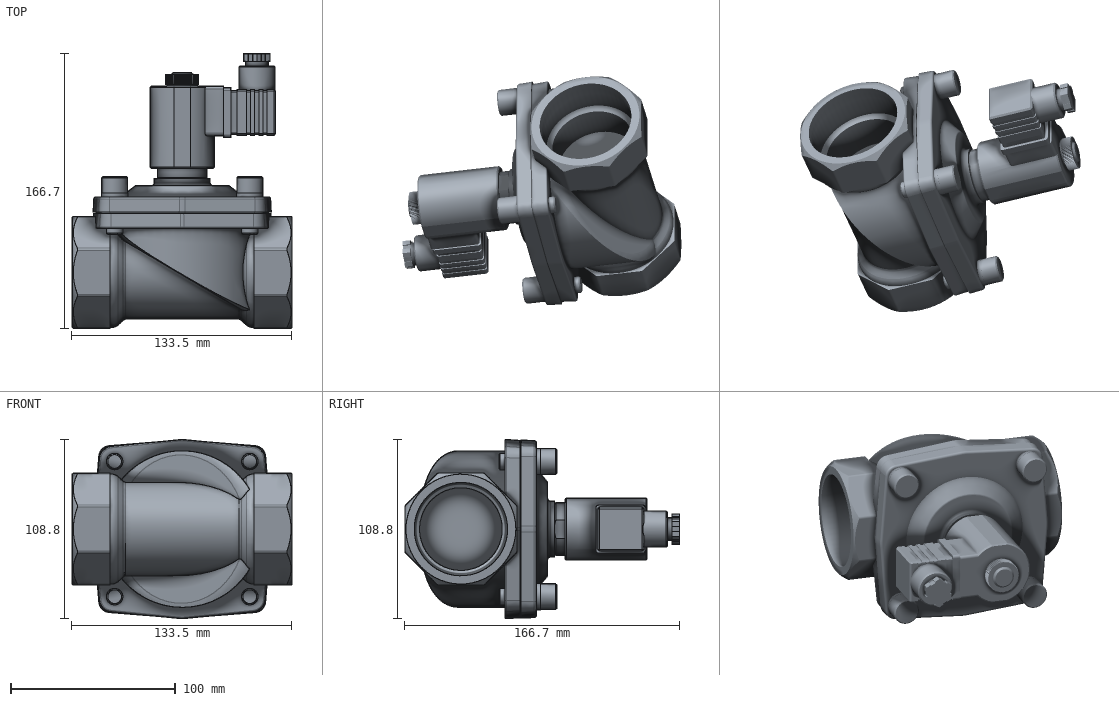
import cadquery as cq
import math

overall_length = 133.5
half_length = overall_length / 2
pipe_radius = 28.3
octagon_flats = 68.0
octagon_sides = 8
octagon_inner_x = 43.7
octagon_edge_radius = 2.0
end_face_radius = 33.4

shoulder_radius = 33.5
shoulder_arc_mid = (41.2, 33.2)
shoulder_arc_end = (39.0, 32.0)
shoulder_cone_end = (35.9, 29.2)
shoulder_foot_mid = (35.2, 28.7)
shoulder_foot_end = (34.4, pipe_radius)

thread_radius = 28.3
thread_depth = 22.5
bore_diameter = 50.2
bore_radius = bore_diameter / 2
bore_cone_length = 1.7
bore_depth = 45.0

housing_radius = 47.5
floor_tilt = 30.5
floor_center = (-0.7, -1.2)
floor_flat_radius = 45.0
floor_edge_radius = 12.5
floor_height = 100.0

flange_bottom = 26.7
seam = 35.9
joint_groove_width = 0.7
joint_groove_depth = 1.7
flange_top = 45.9
body_peak = 54.5
bonnet_peak = 54.2
body_peak_slope = 0.1
bonnet_peak_slope = 0.08
body_corner_radius = 7.7
bonnet_corner_radius = 7.2
body_peak_radius = 10.0
bonnet_peak_radius = 22.5
body_draft = 4.0
bonnet_draft = 3.0
body_rim_radius = 0.8
bonnet_rim_radius = 1.5

screw_spacing = 82.0
screw_tip_radius = 5.0
screw_tip_length = 3.7
screw_tip_chamfer = 0.8
washer_radius = 8.0
washer_thickness = 2.3
screw_head_diameter = 15.8
screw_head_radius = screw_head_diameter / 2
screw_head_top = 58.2
screw_head_chamfer = 0.8

dome_top = 52.7
dome_top_radius = 28.3
dome_base_radius = 37.2
dome_edge_radius = 1.3
boss_radius = 17.0
boss_top = 56.9
boss_foot_radius = 1.7
neck_radius = 16.0
neck_flats = 30.0
neck_foot_chamfer = 0.8

coil_bottom = 63.2
coil_top = 113.0
coil_radius = 19.5
coil_flats = 37.7
coil_rim_chamfer = 0.8

cap_bottom = 114.0
cap_top = 120.0
cap_radius = 10.0
cap_foot_radius = 9.3
cap_tooth_depth = 0.5
cap_teeth = 72
cap_crown_top = 121.2
cap_crown_base_radius = 6.7
cap_crown_top_radius = 5.5

socket_end = 25.2
socket_bottom = 82.9
socket_width = 27.5
socket_edge_radius = 1.7
gasket_end = 29.5
gasket_bottom = 81.9
gasket_top = 112.2
gasket_width = 29.0
plug_end = 56.7
plug_bottom = 83.2
plug_top = 111.0
plug_width = 26.7
plug_edge_radius = 1.0
plug_groove_depth = 0.5
plug_neck_end = 33.4
plug_grooves = 3
plug_groove_start = 39.0
plug_groove_width = 2.5
plug_groove_pitch = 5.0

gland_x = 45.4
gland_radius = 11.0
gland_top = 125.4
gland_chamfer = 0.8
gland_neck_radius = 7.0
gland_nut_bottom = 128.0
gland_nut_top = 132.7
gland_nut_flats = 16.0
gland_nut_sides = 6
gland_notch_width = 3.0
gland_notch_depth = 0.7


def cylinder_y(radius, bottom, top, x=0.0, z=0.0):
    """Cylinder along Y between two heights."""
    return cq.Workplane("XZ", origin=(x, bottom, z)).circle(radius).extrude(bottom - top)


def block(x_start, x_end, bottom, top, width):
    """Box from x_start to x_end and bottom to top, centred on z = 0."""
    return cq.Workplane("XY", origin=(x_start, bottom, 0)).box(
        x_end - x_start, top - bottom, width, centered=(False, False, True)
    )


def screw_positions():
    """X, Z positions of the four screws."""
    half = screw_spacing / 2
    return [(x, z) for x in (-half, half) for z in (-half, half)]


def flange_outline(peak, peak_slope, peak_radius, corner_radius):
    """Square whose sides rise to a slightly rounded peak in the middle."""
    corner = peak / (1 + peak_slope)
    points = [
        (peak, 0), (corner, corner), (0, peak), (-corner, corner),
        (-peak, 0), (-corner, -corner), (0, -peak), (corner, -corner), (peak, 0),
    ]
    outline = cq.Sketch().polygon(points)
    for x, y in points[0:8:2]:
        outline = outline.reset().vertices(cq.NearestToPointSelector((x, y, 0))).fillet(peak_radius)
    for x, y in points[1:8:2]:
        outline = outline.reset().vertices(cq.NearestToPointSelector((x, y, 0))).fillet(corner_radius)
    return outline.reset()


def octagon_end():
    """Octagonal wrench end on the -X side, coned at its outer face."""
    length = half_length - octagon_inner_x
    corner_diameter = octagon_flats / math.cos(math.pi / octagon_sides)
    octagon = (
        cq.Workplane("YZ", origin=(-half_length, 0, 0))
        .transformed(rotate=(0, 0, 180 / octagon_sides))
        .polygon(octagon_sides, corner_diameter)
        .extrude(length)
        .edges("|X")
        .fillet(octagon_edge_radius)
    )
    cone = (
        cq.Workplane("XY")
        .moveTo(-half_length, 0)
        .lineTo(-half_length, end_face_radius)
        .lineTo(-half_length + length, end_face_radius + length)
        .lineTo(-half_length + length, 0)
        .close()
        .revolve(360, (0, 0, 0), (1, 0, 0))
    )
    return octagon.intersect(cone)


def shoulder():
    """Rounded shoulder between the +X octagon and the pipe."""
    return (
        cq.Workplane("XY")
        .moveTo(octagon_inner_x, 0)
        .lineTo(octagon_inner_x, shoulder_radius)
        .threePointArc(shoulder_arc_mid, shoulder_arc_end)
        .lineTo(*shoulder_cone_end)
        .threePointArc(shoulder_foot_mid, shoulder_foot_end)
        .lineTo(shoulder_foot_end[0], 0)
        .close()
        .revolve(360, (0, 0, 0), (1, 0, 0))
    )


def bore():
    """Blind stepped bore of the -X end."""
    thread_end = thread_depth - half_length
    return (
        cq.Workplane("XY")
        .moveTo(-half_length, 0)
        .lineTo(-half_length, thread_radius)
        .lineTo(thread_end, thread_radius)
        .lineTo(thread_end + bore_cone_length, bore_radius)
        .lineTo(bore_depth - half_length, bore_radius)
        .lineTo(bore_depth - half_length, 0)
        .close()
        .revolve(360, (0, 0, 0), (1, 0, 0))
    )


def housing():
    """Upright cylinder whose lower end is a tilted floor with a rounded rim."""
    wall = cylinder_y(housing_radius, -housing_radius, seam)
    tilted_floor = (
        cylinder_y(floor_flat_radius + floor_edge_radius, 0, floor_height)
        .faces("<Y")
        .edges()
        .fillet(floor_edge_radius)
        .rotate((0, 0, 0), (0, 0, 1), -floor_tilt)
        .translate((*floor_center, 0))
    )
    return wall.intersect(tilted_floor)


def body_flange():
    """Body flange, narrowing upwards to the seam."""
    outline = flange_outline(body_peak, body_peak_slope, body_peak_radius, body_corner_radius)
    return (
        cq.Workplane("ZX", origin=(0, flange_bottom, 0))
        .placeSketch(outline)
        .extrude(seam - flange_bottom, taper=body_draft)
        .faces("<Y")
        .edges()
        .fillet(body_rim_radius)
    )


def make_body():
    """Valve body with pipe, octagon ends, housing, flange and screw tips."""
    pipe = cq.Workplane("YZ", origin=(-octagon_inner_x, 0, 0)).circle(pipe_radius)
    body = pipe.extrude(2 * octagon_inner_x).union(housing()).union(body_flange())
    for feature in (octagon_end(), shoulder()):
        body = body.union(feature).union(feature.mirror("YZ"))
    for x, z in screw_positions():
        tip = cylinder_y(screw_tip_radius, flange_bottom - screw_tip_length, seam, x, z)
        body = body.union(tip.faces("<Y").chamfer(screw_tip_chamfer))
    return body.cut(bore()).cut(bore().mirror("YZ"))


def bonnet_flange():
    """Bonnet flange, narrowing upwards, on a joint face that is set back to leave a groove."""
    rim_bottom = seam + joint_groove_width
    outline = flange_outline(bonnet_peak, bonnet_peak_slope, bonnet_peak_radius, bonnet_corner_radius)
    flange = (
        cq.Workplane("ZX", origin=(0, rim_bottom, 0))
        .placeSketch(outline)
        .extrude(flange_top - rim_bottom, taper=bonnet_draft)
        .faces(">Y")
        .edges()
        .fillet(bonnet_rim_radius)
    )
    joint_outline = flange_outline(
        bonnet_peak - joint_groove_depth, bonnet_peak_slope,
        bonnet_peak_radius, bonnet_corner_radius - joint_groove_depth,
    )
    joint_face = (
        cq.Workplane("ZX", origin=(0, seam, 0))
        .placeSketch(joint_outline)
        .extrude(joint_groove_width)
    )
    return flange.union(joint_face)


def dome():
    """Conical dome with a filleted boss on top."""
    cone = (
        cq.Workplane("XY")
        .moveTo(0, flange_top)
        .lineTo(dome_base_radius, flange_top)
        .lineTo(dome_top_radius, dome_top)
        .lineTo(0, dome_top)
        .close()
        .revolve(360, (0, 0, 0), (0, 1, 0))
        .faces(">Y")
        .edges()
        .fillet(dome_edge_radius)
    )
    foot_start = boss_radius + boss_foot_radius
    foot_end = dome_top + boss_foot_radius
    foot_mid_gap = boss_foot_radius * (1 - math.sqrt(0.5))
    boss = (
        cq.Workplane("XY")
        .moveTo(0, dome_top)
        .lineTo(foot_start, dome_top)
        .threePointArc((boss_radius + foot_mid_gap, dome_top + foot_mid_gap), (boss_radius, foot_end))
        .lineTo(boss_radius, boss_top)
        .lineTo(0, boss_top)
        .close()
        .revolve(360, (0, 0, 0), (0, 1, 0))
    )
    return cone.union(boss)


def neck():
    """Round neck with a chamfered foot and two wrench flats facing -X and +X."""
    flats = block(-neck_flats / 2, neck_flats / 2, boss_top, coil_bottom, 2 * neck_radius)
    round_neck = cylinder_y(neck_radius, boss_top, coil_bottom)
    return round_neck.faces("<Y").chamfer(neck_foot_chamfer).intersect(flats)


def screw_head(x, z):
    """Screw head on its washer."""
    washer_top = flange_top + washer_thickness
    washer = cylinder_y(washer_radius, flange_top, washer_top, x, z)
    head = cylinder_y(screw_head_radius, washer_top, screw_head_top, x, z)
    return washer.union(head.faces(">Y").chamfer(screw_head_chamfer))


def make_bonnet():
    """Bonnet with flange, dome, neck and screw heads."""
    bonnet = bonnet_flange().union(dome()).union(neck())
    for x, z in screw_positions():
        bonnet = bonnet.union(screw_head(x, z))
    return bonnet


def coil():
    """Round coil case with flats facing -Z and +Z."""
    case = cylinder_y(coil_radius, coil_bottom, coil_top).edges().chamfer(coil_rim_chamfer)
    flats = block(-coil_radius, coil_radius, coil_bottom, coil_top, coil_flats)
    return case.intersect(flats.edges("|X").chamfer(coil_rim_chamfer))


def cap_nut():
    """Knurled nut with a conical foot and crown."""
    points = []
    for step in range(2 * cap_teeth):
        radius = cap_radius - cap_tooth_depth * (step % 2)
        angle = math.pi * step / cap_teeth
        points.append((radius * math.cos(angle), radius * math.sin(angle)))
    knurl = cq.Workplane("ZX", origin=(0, cap_bottom, 0)).polyline(points).close()
    knurl = knurl.extrude(cap_top - cap_bottom)
    foot = cylinder_y(cap_foot_radius, coil_top, cap_bottom)
    crown = (
        cq.Workplane("XY")
        .moveTo(0, cap_top)
        .lineTo(cap_crown_base_radius, cap_top)
        .lineTo(cap_crown_top_radius, cap_crown_top)
        .lineTo(0, cap_crown_top)
        .close()
        .revolve(360, (0, 0, 0), (0, 1, 0))
    )
    return foot.union(knurl).union(crown)


def plug():
    """Ribbed plug whose neck and grooves run around all four sides."""
    shell = block(gasket_end, plug_end, plug_bottom, plug_top, plug_width)
    shell = shell.edges("|X or >X").chamfer(plug_edge_radius)
    core = block(
        gasket_end, plug_end, plug_bottom + plug_groove_depth,
        plug_top - plug_groove_depth, plug_width - 2 * plug_groove_depth,
    )
    core = core.edges("|X").chamfer(plug_edge_radius)
    slots = [(gasket_end, plug_neck_end)]
    for index in range(plug_grooves):
        start = plug_groove_start + index * plug_groove_pitch
        slots.append((start, start + plug_groove_width))
    for start, end in slots:
        ring = block(start, end, plug_bottom, plug_top, plug_width).cut(core)
        shell = shell.cut(ring)
    return shell


def gland_nut():
    """Hexagon nut with a notch along the middle of each flat."""
    corner_diameter = gland_nut_flats / math.cos(math.pi / gland_nut_sides)
    height = gland_nut_top - gland_nut_bottom
    nut = (
        cq.Workplane("ZX", origin=(0, gland_nut_bottom, 0))
        .polygon(gland_nut_sides, corner_diameter)
        .extrude(height)
    )
    notch_start = gland_nut_flats / 2 - gland_notch_depth
    notch = block(
        notch_start, gland_nut_flats / 2, gland_nut_bottom, gland_nut_top, gland_notch_width
    )
    for side in range(gland_nut_sides):
        nut = nut.cut(notch.rotate((0, 0, 0), (0, 1, 0), side * 360 / gland_nut_sides))
    return nut.translate((gland_x, 0, 0))


def gland():
    """Round gland with a thinner neck carrying its nut."""
    sleeve = cylinder_y(gland_radius, plug_top - plug_edge_radius, gland_top, gland_x)
    sleeve = sleeve.faces(">Y").chamfer(gland_chamfer)
    gland_neck = cylinder_y(gland_neck_radius, gland_top, gland_nut_bottom, gland_x)
    return sleeve.union(gland_neck).union(gland_nut())


def make_solenoid():
    """Coil with cap nut, plug socket, gasket, plug and cable gland."""
    socket = block(0, socket_end, socket_bottom, coil_top, socket_width)
    socket = socket.edges("|X").fillet(socket_edge_radius)
    gasket = block(socket_end, gasket_end, gasket_bottom, gasket_top, gasket_width)
    gasket = gasket.edges("|X").fillet(socket_edge_radius)
    solenoid = coil()
    for feature in (cap_nut(), socket, gasket, plug(), gland()):
        solenoid = solenoid.union(feature)
    return solenoid


body = make_body()
bonnet = make_bonnet()
solenoid = make_solenoid()
result = cq.Compound.makeCompound([body.solids().val(), bonnet.solids().val(), solenoid.solids().val()])